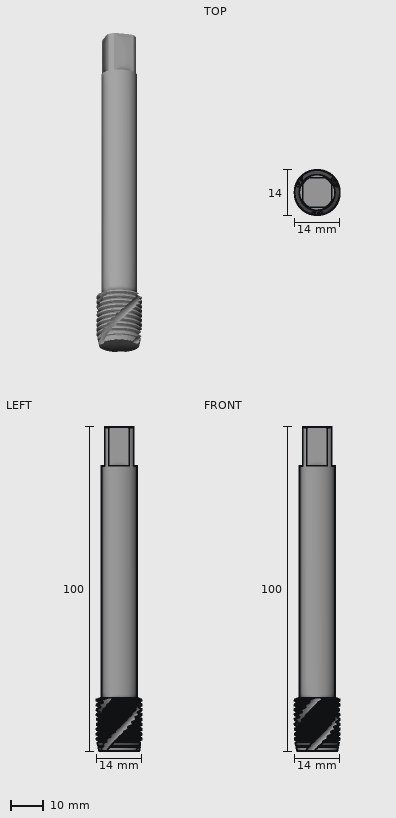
import cadquery as cq
import math

total_length = 100.0
shank_diameter = 11.0
shank_radius = shank_diameter / 2

square_width = 9.0
square_length = 12.0
end_chamfer = 0.3

thread_diameter = 14.0
thread_pitch = 1.5
tooth_count = 11
head_length = tooth_count * thread_pitch
flank_angle = 30.0
crest_width = thread_pitch / 4
root_width = thread_pitch / 8
crest_radius = thread_diameter / 2
flank_height = (thread_pitch - crest_width - root_width) / 2
root_radius = crest_radius - flank_height / math.tan(math.radians(flank_angle))

lead_in_radius = 6.2
lead_in_length = 3.7

flute_count = 3
flute_lead = 41.0
flute_depth = 1.6
flute_radius = 1.8
flute_center_radius = crest_radius - flute_depth + flute_radius
flute_top_angle = -87.0


def revolve_about_z(outline):
    """Solid of revolution from (radius, height) points."""
    return cq.Workplane("XZ").polyline(outline).close().revolve(360, (0, 0), (0, 1))


def make_shank():
    """Round shank standing on the head, with a square drive at its top."""
    shank = (
        cq.Workplane("XY")
        .workplane(offset=head_length)
        .circle(shank_radius)
        .extrude(total_length - head_length)
        .faces(">Z")
        .chamfer(end_chamfer)
    )
    around_square = (
        cq.Workplane("XY")
        .workplane(offset=total_length - square_length)
        .rect(shank_diameter, shank_diameter)
        .rect(square_width, square_width)
        .extrude(square_length)
    )
    return shank.cut(around_square)


def make_toothed_blank():
    """Revolved head with one tooth per pitch, stacked from the top down."""
    outline = [(0, head_length), (shank_radius, head_length)]
    for tooth in range(tooth_count):
        flank_top = head_length - tooth * thread_pitch - root_width / 2
        crest_top = flank_top - flank_height
        crest_bottom = crest_top - crest_width
        if tooth > 0:
            outline.append((root_radius, flank_top))
        outline += [
            (crest_radius, crest_top),
            (crest_radius, crest_bottom),
            (root_radius, crest_bottom - flank_height),
        ]
    outline += [(root_radius, 0), (0, 0)]
    return revolve_about_z(outline)


def make_lead_in_envelope():
    """Cylinder with a tapered bottom that limits the height of the lowest teeth."""
    return revolve_about_z([
        (0, 0),
        (lead_in_radius, 0),
        (crest_radius, lead_in_length),
        (crest_radius, head_length),
        (0, head_length),
    ])


def make_flute(top_angle):
    """Round-bottomed helical channel that reaches the given angle at the head's top."""
    twist = 360 * head_length / flute_lead
    bottom_angle = math.radians(top_angle - twist)
    center_x = flute_center_radius * math.cos(bottom_angle)
    center_y = flute_center_radius * math.sin(bottom_angle)
    return (
        cq.Workplane("XY")
        .moveTo(center_x, center_y)
        .circle(flute_radius)
        .twistExtrude(head_length, twist)
    )


def make_head():
    """Threaded head with its lead-in taper and helical flutes."""
    head = make_toothed_blank().intersect(make_lead_in_envelope())
    for flute in range(flute_count):
        head = head.cut(make_flute(flute_top_angle + flute * 360 / flute_count))
    return head


shank = make_shank()
head = make_head()

result = cq.Compound.makeCompound([shank.solids().val(), head.solids().val()])